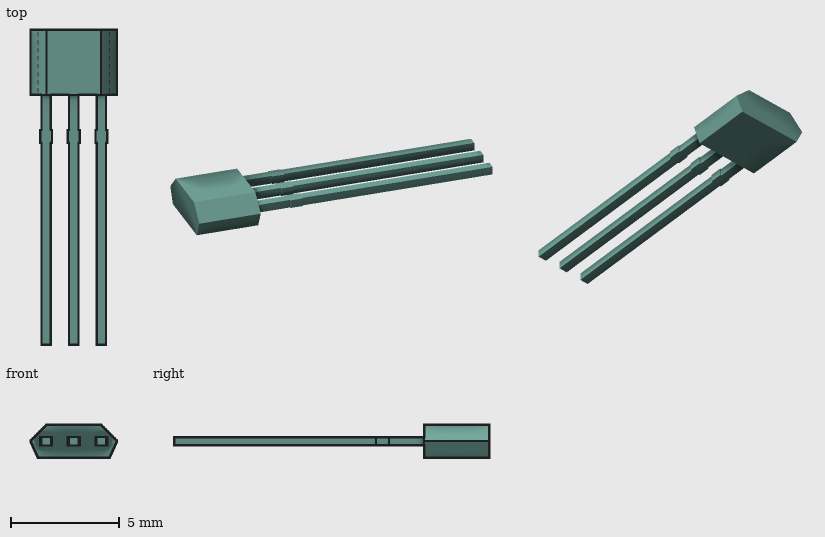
import cadquery as cq

BODY_WIDTH = 4.0
BODY_HEIGHT = 1.52
BODY_LENGTH = 3.0
UPPER_SLOPE_HEIGHT = 0.75
TOP_FACE_WIDTH = 2.5
BOTTOM_FACE_WIDTH = 3.3

OVERALL_LENGTH = 14.5
LEAD_LENGTH = OVERALL_LENGTH - BODY_LENGTH
LEAD_COUNT = 3
LEAD_PITCH = 1.27
LEAD_WIDTH = 0.44
LEAD_THICKNESS = 0.39

COLLAR_WIDTH = 0.56
COLLAR_LENGTH = 0.6
COLLAR_OFFSET = 1.61


def make_body():
    """Hexagonal prism, widest just above mid height, from Y = 0 to +BODY_LENGTH."""
    half_height = BODY_HEIGHT / 2
    edge_z = half_height - UPPER_SLOPE_HEIGHT
    section = [
        (-BODY_WIDTH / 2, edge_z),
        (-TOP_FACE_WIDTH / 2, half_height),
        (TOP_FACE_WIDTH / 2, half_height),
        (BODY_WIDTH / 2, edge_z),
        (BOTTOM_FACE_WIDTH / 2, -half_height),
        (-BOTTOM_FACE_WIDTH / 2, -half_height),
    ]
    return cq.Workplane("XZ").polyline(section).close().extrude(-BODY_LENGTH)


def make_bar(width, length, x_center, y_start):
    """Bar of lead thickness running from y_start toward -Y, centred on Z = 0."""
    return (
        cq.Workplane("XZ", origin=(x_center, y_start, 0))
        .rect(width, LEAD_THICKNESS)
        .extrude(length)
    )


def make_lead(x_center):
    """One lead with its collar, starting at the body end face."""
    shank = make_bar(LEAD_WIDTH, LEAD_LENGTH, x_center, 0)
    collar = make_bar(COLLAR_WIDTH, COLLAR_LENGTH, x_center, -COLLAR_OFFSET)
    return shank.union(collar)


result = make_body()
for index in range(LEAD_COUNT):
    lead_x = (index - (LEAD_COUNT - 1) / 2) * LEAD_PITCH
    result = result.union(make_lead(lead_x))